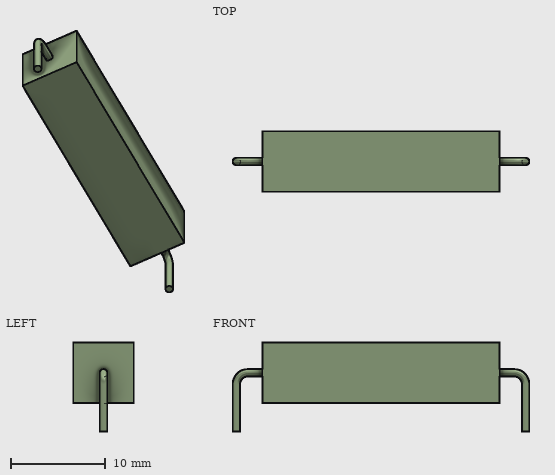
import cadquery as cq

body_length = 25.0
body_side = 6.4

wire_diameter = 0.8
lead_spacing = 30.48
lead_drop = 3.0
bend_radius = 1.2

body_half_length = body_length / 2
lead_x = lead_spacing / 2
lead_axis_z = body_side / 2


def make_body():
    return cq.Workplane("XY").box(body_length, body_side, body_side, centered=(True, True, False))


def make_right_lead():
    """Wire swept from the +X end face, around the bend and down to its tip."""
    straight_length = lead_x - bend_radius - body_half_length
    path = (
        cq.Workplane("XZ")
        .moveTo(body_half_length, lead_axis_z)
        .hLine(straight_length)
        .tangentArcPoint((lead_x, lead_axis_z - bend_radius), relative=False)
        .lineTo(lead_x, -lead_drop)
    )
    wire_start = cq.Workplane("YZ", origin=(body_half_length, 0, lead_axis_z))
    return wire_start.circle(wire_diameter / 2).sweep(path)


right_lead = make_right_lead()
left_lead = right_lead.mirror("YZ")

result = make_body().union(right_lead).union(left_lead)